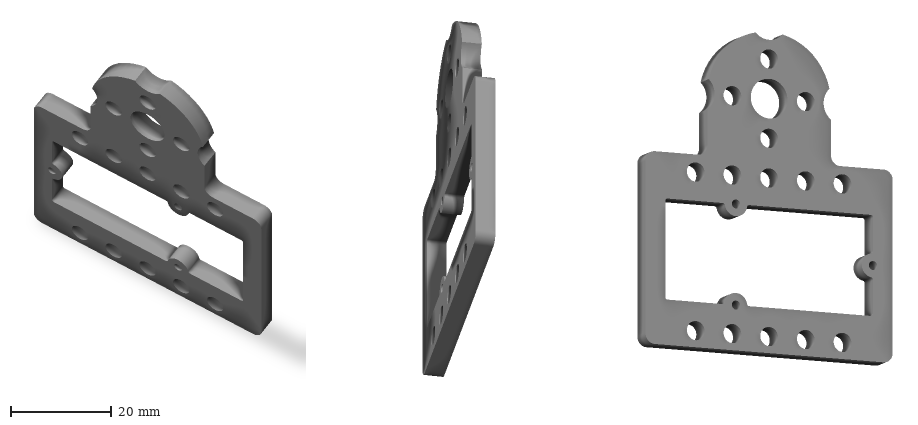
import cadquery as cq

width = 54.0
thickness = 4.0
plate_height = 39.0
corner_radius = 2.0

head_z = 51.5
head_radius = 13.5
bore_diameter = 8.0
notch_radius = 4.1
notch_offset = 16.0

pitch = 8.0
hole_diameter = 3.9
holes_per_row = 5
upper_row_z = head_z - 2 * pitch
lower_row_z = upper_row_z - 4 * pitch

window_width = 45.4
window_height = 20.45
window_z = 19.4
window_radius = 0.5
lug_radius = 2.45
lug_hole_diameter = 1.8
lug_x = 7.25
lug_points = [
    (-window_width / 2, window_z),
    (lug_x, window_z + window_height / 2),
    (lug_x, window_z - window_height / 2),
]


def extrude(sketch):
    """Extrude an XZ profile through the thickness, centred on Y = 0."""
    return sketch.extrude(thickness / 2, both=True)


def block(block_width, height, center_z):
    return extrude(cq.Workplane("XZ").center(0, center_z).rect(block_width, height))


def discs(points, radius):
    return extrude(cq.Workplane("XZ").pushPoints(points).circle(radius))


def make_outline():
    plate = block(width, plate_height, plate_height / 2).edges("|Y").fillet(corner_radius)
    neck_bottom = upper_row_z
    neck = block(2 * head_radius, head_z - neck_bottom, (head_z + neck_bottom) / 2)
    body = plate.union(neck)
    shoulder = cq.selectors.BoxSelector(
        (-head_radius - 0.65, -thickness, plate_height - 0.65),
        (head_radius + 0.65, thickness, plate_height + 0.65),
    )
    body = body.edges("|Y").edges(shoulder).fillet(corner_radius)
    body = body.union(discs([(0, head_z)], head_radius))
    notch_points = [
        (-notch_offset, head_z),
        (notch_offset, head_z),
        (0, head_z + notch_offset),
    ]
    return body.cut(discs(notch_points, notch_radius))


def make_window():
    """Window opening, with the lugs left standing and all its corners rounded."""
    opening = block(window_width, window_height, window_z)
    opening = opening.cut(discs(lug_points, lug_radius))
    return opening.edges("|Y").fillet(window_radius)


def make_mounting_holes():
    half_row = (holes_per_row - 1) / 2
    points = [
        ((i - half_row) * pitch, row_z)
        for row_z in (lower_row_z, upper_row_z)
        for i in range(holes_per_row)
    ]
    points += [(-pitch, head_z), (pitch, head_z), (0, head_z - pitch), (0, head_z + pitch)]
    return discs(points, hole_diameter / 2)


result = make_outline().cut(make_window())
result = result.cut(make_mounting_holes())
result = result.cut(discs([(0, head_z)], bore_diameter / 2))
result = result.cut(discs(lug_points, lug_hole_diameter / 2))